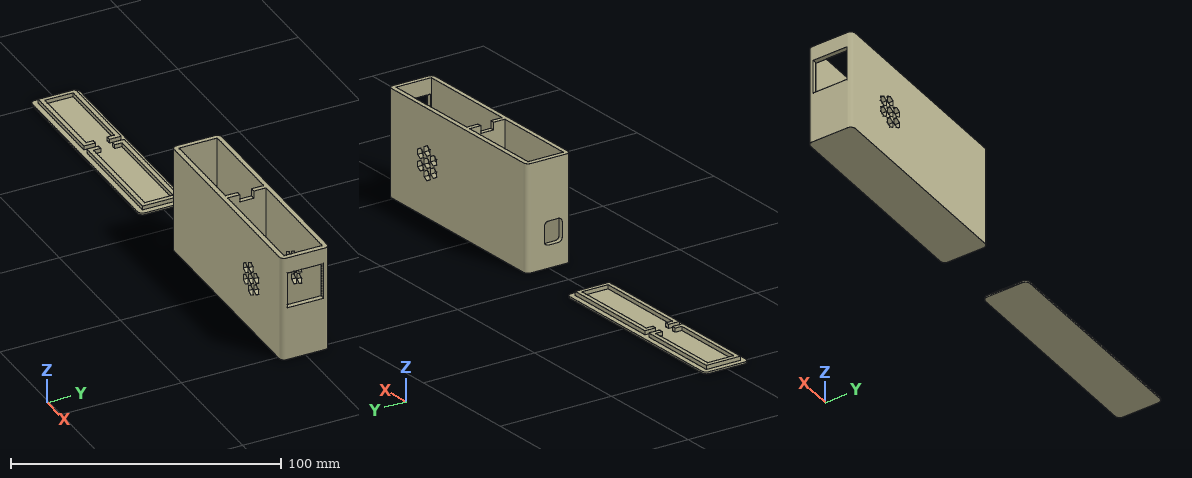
import cadquery as cq
import math

LENGTH = 90.0
WIDTH = 20.0
CORNER_RADIUS = 2.0
TOTAL_LENGTH = 206.0
WALL = 2.0

BOX_HEIGHT = 44.0
FLOOR = 2.0
BOX_X = TOTAL_LENGTH - LENGTH

PARTITION_X = 41.0
PARTITION_THICKNESS = 1.9
NOTCH_WIDTH = 5.8
NOTCH_DEPTH = 3.0

PORT_WIDTH = 8.0
PORT_HEIGHT = 9.7
PORT_RADIUS = 1.9
PORT_Y = -2.0
PORT_Z = 14.2

WINDOW_SIDE = 15.0
WINDOW_DROP = 6.5
WINDOW_TOP = BOX_HEIGHT - WINDOW_DROP

VENT_FLATS = 3.7
VENT_PITCH = 5.0
VENT_X = 64.9
VENT_Z = BOX_HEIGHT / 2

PLATE_THICKNESS = 0.8
RIM_HEIGHT = 1.6
RIM_THICKNESS = 1.9
RIM_CLEARANCE = 0.2
SLOT_CLEARANCE = 0.3
RIM_SLOT = PARTITION_THICKNESS + 2 * SLOT_CLEARANCE

COS_30 = math.cos(math.radians(30))
INNER_LENGTH = LENGTH - 2 * WALL
INNER_WIDTH = WIDTH - 2 * WALL


def block(x_min, length, width, z_min, height):
    """Block centred on Y = 0, measured from its -X end and its underside."""
    solid = cq.Workplane("XY").box(length, width, height, centered=(False, True, False))
    return solid.translate((x_min, 0, z_min))


def rounded_slab(height):
    """Slab with the shared footprint and rounded vertical corners."""
    return block(0, LENGTH, WIDTH, 0, height).edges("|Z").fillet(CORNER_RADIUS)


def partition():
    """Cross wall with a notch at the middle of its top edge."""
    x_min = PARTITION_X - PARTITION_THICKNESS / 2
    wall = block(x_min, PARTITION_THICKNESS, INNER_WIDTH, FLOOR, BOX_HEIGHT - FLOOR)
    notch = block(x_min, PARTITION_THICKNESS, NOTCH_WIDTH, BOX_HEIGHT - NOTCH_DEPTH, NOTCH_DEPTH)
    return wall.cut(notch)


def port():
    """Cutter for the port, rounded at its four corners."""
    cutter = block(0, WALL, PORT_WIDTH, PORT_Z - PORT_HEIGHT / 2, PORT_HEIGHT)
    return cutter.edges("|X").fillet(PORT_RADIUS).translate((0, PORT_Y, 0))


def window():
    """Cutter for the window, centred across the width."""
    return block(LENGTH - WALL, WALL, WINDOW_SIDE, WINDOW_TOP - WINDOW_SIDE, WINDOW_SIDE)


def vents():
    """Three columns of hexagons (2, 3 and 2) on a hexagonal grid, corners pointing up."""
    centres = []
    for column, count in ((-1, 2), (0, 3), (1, 2)):
        for row in range(count):
            z = VENT_Z + (row - (count - 1) / 2) * VENT_PITCH
            centres.append((VENT_X + column * VENT_PITCH * COS_30, z))
    corner_radius = VENT_FLATS / 2 / COS_30
    hexagon = cq.Sketch().regularPolygon(corner_radius, 6)
    return cq.Workplane("XZ").pushPoints(centres).placeSketch(hexagon).extrude(WIDTH / 2, both=True)


def make_box():
    """Open-topped box standing at the +X end."""
    cavity = block(WALL, INNER_LENGTH, INNER_WIDTH, FLOOR, BOX_HEIGHT - FLOOR)
    box = rounded_slab(BOX_HEIGHT).cut(cavity).union(partition())
    return box.cut(port()).cut(window()).cut(vents()).translate((BOX_X, 0, 0))


def rim():
    """Rim that plugs the box opening, with stubs turned inward along both sides of the partition slot."""
    inset = WALL + RIM_CLEARANCE
    length = LENGTH - 2 * inset
    width = WIDTH - 2 * inset
    slot_min = PARTITION_X - RIM_SLOT / 2
    z = PLATE_THICKNESS
    ring = block(inset, length, width, z, RIM_HEIGHT)
    opening_length = length - 2 * RIM_THICKNESS
    opening_width = width - 2 * RIM_THICKNESS
    opening = block(inset + RIM_THICKNESS, opening_length, opening_width, z, RIM_HEIGHT)
    stubs = block(slot_min - RIM_THICKNESS, RIM_SLOT + 2 * RIM_THICKNESS, width, z, RIM_HEIGHT)
    passage = block(0, LENGTH, NOTCH_WIDTH, z, RIM_HEIGHT)
    slot = block(slot_min, RIM_SLOT, WIDTH, z, RIM_HEIGHT)
    return ring.cut(opening).union(stubs.cut(passage)).cut(slot)


def make_lid():
    """Thin plate with the plug rim on its upper face, lying at the -X end."""
    return rounded_slab(PLATE_THICKNESS).union(rim())


box = make_box()
lid = make_lid()
result = cq.Compound.makeCompound([box.val(), lid.val()])